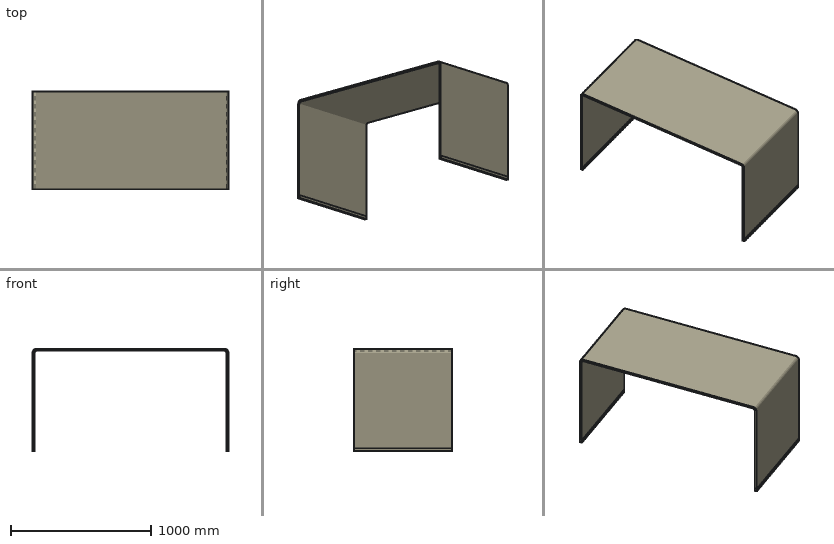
import cadquery as cq

table_length = 1400.0
table_depth = 700.0
table_height = 730.0
sheet_thickness = 15.0
outer_bend_radius = 30.0
inner_bend_radius = outer_bend_radius - sheet_thickness

channel_wall = 1.0
channel_lap = 20.0

leg_centre_x = (table_length - sheet_thickness) / 2


def make_table():
    """Bent sheet standing on z = 0, open at both ends of its depth and below."""
    outer = (
        cq.Workplane("XY")
        .box(table_length, table_depth, table_height, centered=(True, True, False))
        .edges("|Y and >Z")
        .fillet(outer_bend_radius)
    )
    opening_length = table_length - 2 * sheet_thickness
    opening_height = table_height - sheet_thickness
    opening = (
        cq.Workplane("XY")
        .box(opening_length, table_depth, opening_height, centered=(True, True, False))
        .edges("|Y and >Z")
        .fillet(inner_bend_radius)
    )
    return outer.cut(opening)


def make_edge_channel(centre_x):
    """Channel that covers the bottom edge of one leg and both of its faces."""
    channel_width = sheet_thickness + 2 * channel_wall
    block = (
        cq.Workplane("XY", origin=(centre_x, 0, -channel_wall))
        .box(channel_width, table_depth, channel_lap + channel_wall, centered=(True, True, False))
    )
    leg_slot = (
        cq.Workplane("XY", origin=(centre_x, 0, 0))
        .box(sheet_thickness, table_depth, channel_lap, centered=(True, True, False))
    )
    return block.cut(leg_slot)


table = make_table()
edge_channels = [make_edge_channel(side * leg_centre_x) for side in (-1, 1)]

result = cq.Compound.makeCompound([table.val(), *[channel.val() for channel in edge_channels]])